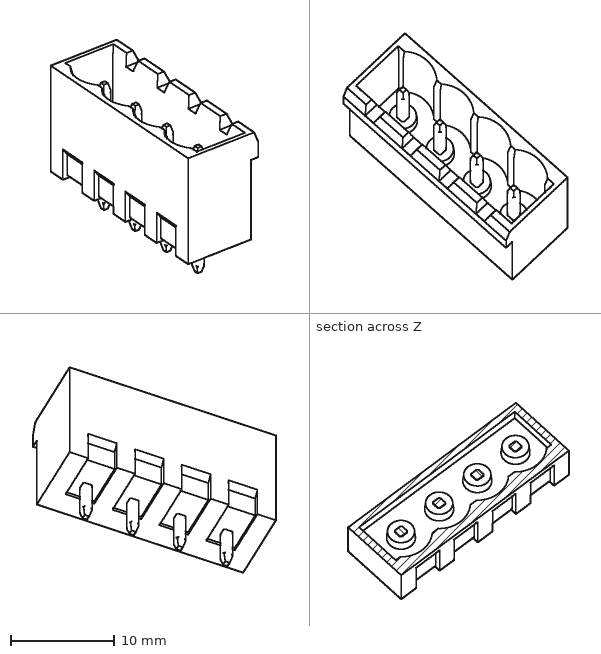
import cadquery as cq

LENGTH = 22.0
BODY_DEPTH = 7.7
HEIGHT = 12.0

LIP_DEPTH = 0.88
LIP_HEIGHT = 3.0
LIP_CHAMFER_DEPTH = 0.5
LIP_CHAMFER_HEIGHT = 1.28
REAR = BODY_DEPTH + LIP_DEPTH

PIN_COUNT = 4
PIN_PITCH = 5.0
PIN_Y = 3.9
PIN_XS = [(i - (PIN_COUNT - 1) / 2) * PIN_PITCH for i in range(PIN_COUNT)]

FLOOR_Z = 3.0
CAVITY_LENGTH = 20.33
CAVITY_FRONT = 1.72
CAVITY_REAR = 6.95
MOUTH_DEPTH = 1.25
MOUTH_Z = HEIGHT - MOUTH_DEPTH
END_FLARE = 0.35
REAR_FLARE = 0.35
FRONT_FLARE = 0.29
SCALLOP_RADIUS = 3.01

BOSS_HEIGHT = 1.0
BOSS_BASE_RADIUS = 1.4
BOSS_TOP_RADIUS = 1.32

NOTCH_FLOOR_WIDTH = 1.12
NOTCH_TOP_WIDTH = 1.85

WINDOW_WIDTH = 3.05
WINDOW_DEPTH = 0.53
WINDOW_HEIGHT = 3.45
WINDOW_SLOPE_HEIGHT = 0.75
FOOT_RECESS_HEIGHT = 0.33
FOOT_RECESS_REAR = 5.28

PIN_WIDTH = 1.0
PIN_CORNER_RADIUS = 0.2
PIN_TIP_WIDTH = 0.48
PIN_TIP_LENGTH = 1.0
PIN_BOTTOM = -3.92
PIN_TOP = 10.27


def frustum(x, bottom_radius, top_radius, bottom_z, height):
    """Cone section on a pin axis; a plain cylinder when both radii agree."""
    if bottom_radius == top_radius:
        return cq.Workplane("XY", origin=(x, PIN_Y, bottom_z)).circle(top_radius).extrude(height)
    base_center = cq.Vector(x, PIN_Y, bottom_z)
    return cq.Workplane(cq.Solid.makeCone(bottom_radius, top_radius, height, base_center))


def make_shell():
    """Outer block with the chamfered latch lip, as one side profile."""
    profile = [
        (0, 0),
        (BODY_DEPTH, 0),
        (BODY_DEPTH, HEIGHT - LIP_HEIGHT),
        (REAR, HEIGHT - LIP_HEIGHT),
        (REAR, HEIGHT - LIP_CHAMFER_HEIGHT),
        (REAR - LIP_CHAMFER_DEPTH, HEIGHT),
        (0, HEIGHT),
    ]
    return cq.Workplane("YZ").polyline(profile).close().extrude(LENGTH / 2, both=True)


def cavity_outline(z, end_flare, front_flare, rear_flare):
    """Rectangular cavity section at height z, widened by the given flares."""
    front = CAVITY_FRONT - front_flare
    rear = CAVITY_REAR + rear_flare
    center = (0, (front + rear) / 2, z)
    return cq.Workplane("XY", origin=center).rect(CAVITY_LENGTH + 2 * end_flare, rear - front)


def make_cavity():
    """Cavity space: straight well, flared mouth and one scallop per pin, less the bosses."""
    well_height = MOUTH_Z - FLOOR_Z
    cavity = cavity_outline(FLOOR_Z, 0, 0, 0).extrude(well_height)
    mouth_bottom = cavity_outline(MOUTH_Z, 0, 0, 0).wires().val()
    mouth_top = cavity_outline(HEIGHT, END_FLARE, FRONT_FLARE, REAR_FLARE).wires().val()
    cavity = cavity.union(cq.Workplane(cq.Solid.makeLoft([mouth_bottom, mouth_top], True)))
    scallop_top_radius = SCALLOP_RADIUS + FRONT_FLARE
    front_zone = cq.Workplane("XY").box(LENGTH, CAVITY_FRONT, HEIGHT, centered=(True, False, False))
    for x in PIN_XS:
        scallop = frustum(x, SCALLOP_RADIUS, SCALLOP_RADIUS, FLOOR_Z, well_height)
        scallop = scallop.union(frustum(x, SCALLOP_RADIUS, scallop_top_radius, MOUTH_Z, MOUTH_DEPTH))
        cavity = cavity.union(scallop.intersect(front_zone))
    for x in PIN_XS:
        cavity = cavity.cut(frustum(x, BOSS_BASE_RADIUS, BOSS_TOP_RADIUS, FLOOR_Z, BOSS_HEIGHT))
    return cavity


def make_notch(x):
    """Notch with sloping sides through the top of the rear wall."""
    profile = [
        (x - NOTCH_FLOOR_WIDTH / 2, MOUTH_Z),
        (x + NOTCH_FLOOR_WIDTH / 2, MOUTH_Z),
        (x + NOTCH_TOP_WIDTH / 2, HEIGHT),
        (x - NOTCH_TOP_WIDTH / 2, HEIGHT),
    ]
    section = cq.Workplane("XZ", origin=(0, REAR, 0)).polyline(profile).close()
    return section.extrude(REAR - CAVITY_REAR)


def make_window(x):
    """Front window with a sloping ceiling, joined to the recess under the housing."""
    profile = [
        (0, 0),
        (FOOT_RECESS_REAR, 0),
        (FOOT_RECESS_REAR, FOOT_RECESS_HEIGHT),
        (WINDOW_DEPTH, FOOT_RECESS_HEIGHT),
        (WINDOW_DEPTH, WINDOW_HEIGHT - WINDOW_SLOPE_HEIGHT),
        (0, WINDOW_HEIGHT),
    ]
    section = cq.Workplane("YZ", origin=(x, 0, 0)).polyline(profile).close()
    return section.extrude(WINDOW_WIDTH / 2, both=True)


def make_tip_envelope(x, root_z, end_z):
    """Square taper from full pin width at root_z to the tip at end_z."""
    root = cq.Workplane("XY", origin=(x, PIN_Y, root_z)).rect(PIN_WIDTH, PIN_WIDTH).wires().val()
    end = cq.Workplane("XY", origin=(x, PIN_Y, end_z)).rect(PIN_TIP_WIDTH, PIN_TIP_WIDTH).wires().val()
    return cq.Workplane(cq.Solid.makeLoft([root, end], True))


def make_pin(x):
    """Square pin with rounded edges and a tapered tip at both ends."""
    bar = (
        cq.Workplane("XY", origin=(x, PIN_Y, PIN_BOTTOM))
        .rect(PIN_WIDTH, PIN_WIDTH)
        .extrude(PIN_TOP - PIN_BOTTOM)
        .edges("|Z")
        .fillet(PIN_CORNER_RADIUS)
    )
    shank_bottom = PIN_BOTTOM + PIN_TIP_LENGTH
    shank_top = PIN_TOP - PIN_TIP_LENGTH
    envelope = (
        cq.Workplane("XY", origin=(x, PIN_Y, shank_bottom))
        .rect(PIN_WIDTH, PIN_WIDTH)
        .extrude(shank_top - shank_bottom)
        .union(make_tip_envelope(x, shank_bottom, PIN_BOTTOM))
        .union(make_tip_envelope(x, shank_top, PIN_TOP))
    )
    return bar.intersect(envelope)


def make_housing(pins):
    """Housing with its cavity, notches, windows and a matching hole for each pin."""
    body = make_shell().cut(make_cavity())
    for x, pin in zip(PIN_XS, pins):
        body = body.cut(make_notch(x)).cut(make_window(x)).cut(pin)
    return body


pins = [make_pin(x) for x in PIN_XS]
housing = make_housing(pins)

result = cq.Compound.makeCompound([housing.val(), *[pin.val() for pin in pins]])